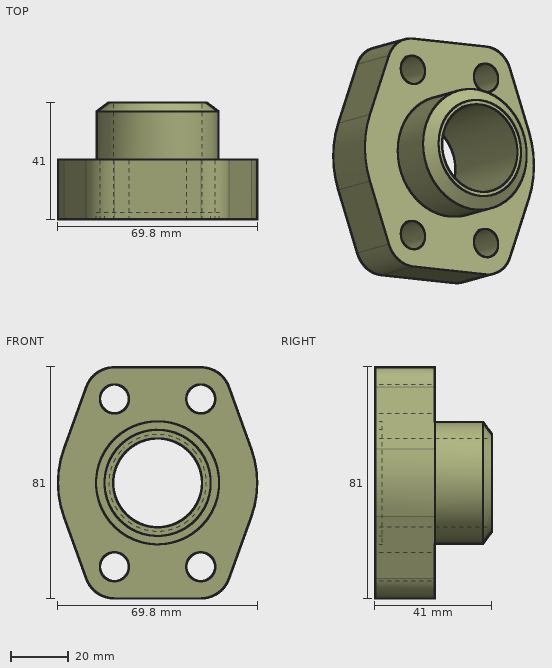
import cadquery as cq
import math

height = 81.0
half_width = 34.9
plate_thickness = 21.0
corner_radius = 10.5

bolt_spacing_x = 30.2
bolt_spacing_z = 58.7
bolt_hole_diameter = 10.05

neck_diameter = 42.8
neck_length = 20.0
bevel_length = 3.2
bevel_depth = 4.4
bore_diameter = 31.0

groove_outer_diameter = 43.1
groove_inner_diameter = 37.2
groove_depth = 2.4

corner_x = bolt_spacing_x / 2
corner_z = height / 2 - corner_radius

corner_distance = math.hypot(corner_x, corner_z)
corner_direction = math.atan2(corner_z, corner_x)
tangent_angle = corner_direction - math.acos((half_width - corner_radius) / corner_distance)


def corner_point(angle):
    """Point on the upper right corner arc."""
    return (corner_x + corner_radius * math.cos(angle), corner_z + corner_radius * math.sin(angle))


def mirror_x(point):
    return (-point[0], point[1])


def mirror_z(point):
    return (point[0], -point[1])


def opposite(point):
    return (-point[0], -point[1])


def make_plate():
    """Plate from its front face at Y = 0 to the neck side."""
    side_end = (half_width * math.cos(tangent_angle), half_width * math.sin(tangent_angle))
    corner_start = corner_point(tangent_angle)
    corner_middle = corner_point((tangent_angle + math.pi / 2) / 2)
    corner_end = corner_point(math.pi / 2)
    outline = (
        cq.Workplane("XZ")
        .moveTo(*mirror_z(side_end))
        .threePointArc((half_width, 0), side_end)
        .lineTo(*corner_start)
        .threePointArc(corner_middle, corner_end)
        .lineTo(*mirror_x(corner_end))
        .threePointArc(mirror_x(corner_middle), mirror_x(corner_start))
        .lineTo(*mirror_x(side_end))
        .threePointArc((-half_width, 0), opposite(side_end))
        .lineTo(*opposite(corner_start))
        .threePointArc(opposite(corner_middle), opposite(corner_end))
        .lineTo(*mirror_z(corner_end))
        .threePointArc(mirror_z(corner_middle), mirror_z(corner_start))
        .close()
    )
    return outline.extrude(-plate_thickness)


def make_neck():
    """Bevelled neck, revolved about the Y axis."""
    neck_end = plate_thickness + neck_length
    neck_radius = neck_diameter / 2
    profile = [
        (0, 0),
        (neck_radius - bevel_depth, 0),
        (neck_radius, bevel_length),
        (neck_radius, neck_length),
        (0, neck_length),
    ]
    half_section = [(radius, neck_end - distance) for radius, distance in profile]
    return cq.Workplane("XY").polyline(half_section).close().revolve(360, (0, 0), (0, 1))


body = make_plate().union(make_neck())

bore = cq.Workplane("XZ").circle(bore_diameter / 2).extrude(-(plate_thickness + neck_length))

bolt_holes = (
    cq.Workplane("XZ")
    .rarray(bolt_spacing_x, bolt_spacing_z, 2, 2)
    .circle(bolt_hole_diameter / 2)
    .extrude(-plate_thickness)
)

seal_groove = (
    cq.Workplane("XZ")
    .circle(groove_outer_diameter / 2)
    .circle(groove_inner_diameter / 2)
    .extrude(-groove_depth)
)

result = body.cut(bore).cut(bolt_holes).cut(seal_groove)